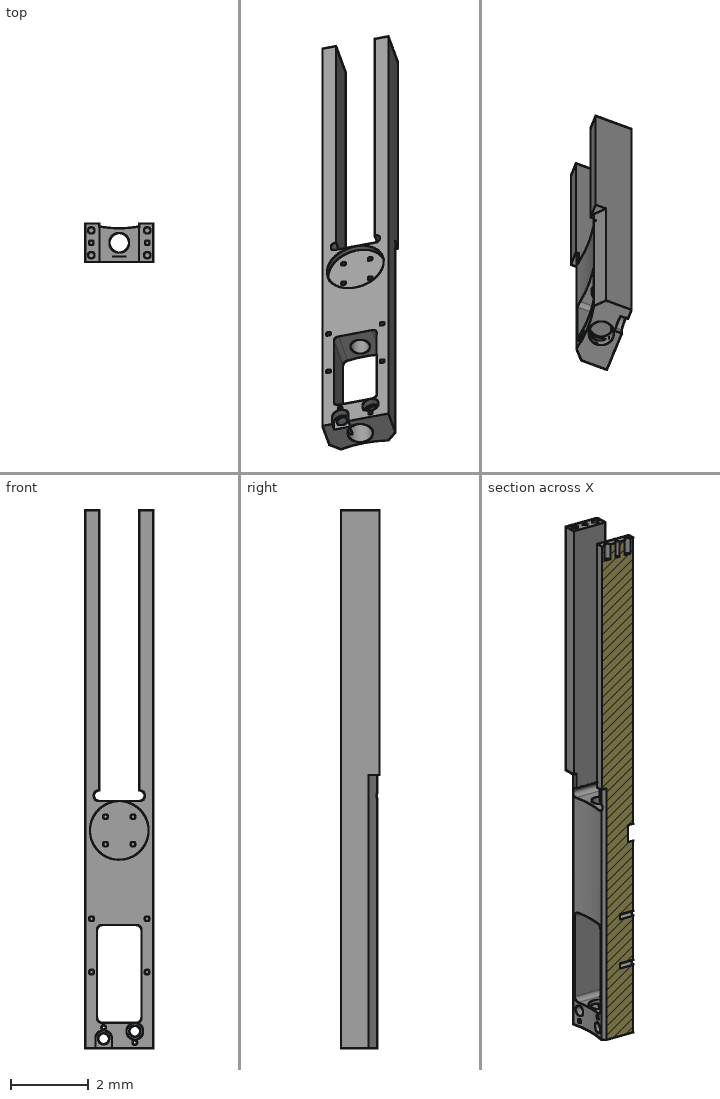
import cadquery as cq

WIDTH = 1.75
DEPTH = 1.0
HEIGHT = 13.81
FRONT = -DEPTH / 2
BACK = DEPTH / 2

BODY_TOP = 7.02
BACK_STEP = 0.05
BEVEL_DEPTH = 0.23
BEVEL_WIDTH = 0.25
HOLLOW_DEPTH = 0.07

FORK_WIDTH = 1.02
FORK_FLOOR = 6.35
RELIEF_WIDTH = 1.3
RELIEF_HEIGHT = 0.26
RELIEF_RADIUS = 0.12

WINDOW_WIDTH = 1.13
WINDOW_BOTTOM = 0.66
WINDOW_TOP = 3.16
WINDOW_RADIUS = 0.12

SEAT_DIAMETER = 1.5
SEAT_DEPTH = 0.15
SEAT_Z = 5.59
SEAT_HOLE_SPACING = 0.7
SEAT_HOLE_DIAMETER = 0.12

BLIND_DEPTH = 0.41
SIDE_HOLE_SPACING = 1.42
SIDE_HOLE_DIAMETER = 0.12
SIDE_HOLE_HEIGHTS = (1.96, 3.33)
ARM_HOLE_SPACING_X = 1.44
ARM_HOLE_SPACING_Y = 0.32
ARM_OUTER_HOLE_DIAMETER = 0.17
ARM_MIDDLE_HOLE_DIAMETER = 0.12

AXIAL_BORE_DIAMETER = 0.5
FOOT_BORE_DIAMETER = 0.65

MOUNT_X = 0.4
LEFT_MOUNT_Z = 0.25
RIGHT_MOUNT_Z = 0.44
MOUNT_DIAMETER = 0.28
COUNTERBORE_DIAMETER = 0.43
COUNTERBORE_DEPTH = 0.21
COMPANION_OFFSET = 0.29
COMPANION_DIAMETER = 0.11


def front_box(width, bottom, top):
    """Block through the full depth, centred on X."""
    return cq.Workplane("XY").box(width, DEPTH, top - bottom, centered=(True, True, False)).translate(
        (0, 0, bottom)
    )


def front_cylinders(points, diameter, depth):
    """Cylinders running from the front face toward the back at (x, z) points."""
    plane = cq.Workplane("XZ", origin=(0, FRONT, 0))
    return plane.pushPoints(points).circle(diameter / 2).extrude(-depth)


def make_body():
    half_width = WIDTH / 2
    ridge_x = half_width - BEVEL_WIDTH
    ridge_y = BACK - BACK_STEP
    lower = (
        cq.Workplane("XY")
        .moveTo(-half_width, FRONT)
        .lineTo(half_width, FRONT)
        .lineTo(half_width, ridge_y - BEVEL_DEPTH)
        .lineTo(ridge_x, ridge_y)
        .threePointArc((0, ridge_y - HOLLOW_DEPTH), (-ridge_x, ridge_y))
        .lineTo(-half_width, ridge_y - BEVEL_DEPTH)
        .close()
        .extrude(BODY_TOP)
    )
    return lower.union(front_box(WIDTH, BODY_TOP, HEIGHT))


def cut_openings(body):
    fork = front_box(FORK_WIDTH, FORK_FLOOR, HEIGHT)
    relief = front_box(RELIEF_WIDTH, FORK_FLOOR, FORK_FLOOR + RELIEF_HEIGHT)
    relief = relief.edges("|Y").fillet(RELIEF_RADIUS)
    window = front_box(WINDOW_WIDTH, WINDOW_BOTTOM, WINDOW_TOP)
    window = window.edges("|Y").fillet(WINDOW_RADIUS)
    bore = cq.Workplane("XY").circle(AXIAL_BORE_DIAMETER / 2).extrude(FORK_FLOOR)
    foot_bore = cq.Workplane("XY").circle(FOOT_BORE_DIAMETER / 2).extrude(WINDOW_BOTTOM)
    return body.cut(fork).cut(relief).cut(window).cut(bore).cut(foot_bore)


def cut_seat(body):
    half = SEAT_HOLE_SPACING / 2
    pins = [(x, SEAT_Z + dz) for x in (-half, half) for dz in (-half, half)]
    body = body.cut(front_cylinders([(0, SEAT_Z)], SEAT_DIAMETER, SEAT_DEPTH))
    return body.cut(front_cylinders(pins, SEAT_HOLE_DIAMETER, BLIND_DEPTH))


def cut_small_holes(body):
    side_x = SIDE_HOLE_SPACING / 2
    side_points = [(x, z) for x in (-side_x, side_x) for z in SIDE_HOLE_HEIGHTS]
    body = body.cut(front_cylinders(side_points, SIDE_HOLE_DIAMETER, BLIND_DEPTH))
    for row, diameter in (
        (-1, ARM_OUTER_HOLE_DIAMETER),
        (0, ARM_MIDDLE_HOLE_DIAMETER),
        (1, ARM_OUTER_HOLE_DIAMETER),
    ):
        arm_x = ARM_HOLE_SPACING_X / 2
        points = [(x, row * ARM_HOLE_SPACING_Y) for x in (-arm_x, arm_x)]
        top = cq.Workplane("XY", origin=(0, 0, HEIGHT))
        body = body.cut(top.pushPoints(points).circle(diameter / 2).extrude(-BLIND_DEPTH))
    return body


def cut_mount(body, x, z, companion_z):
    body = body.cut(front_cylinders([(x, z)], MOUNT_DIAMETER, DEPTH))
    body = body.cut(front_cylinders([(x, z)], COUNTERBORE_DIAMETER, COUNTERBORE_DEPTH))
    return body.cut(front_cylinders([(x, companion_z)], COMPANION_DIAMETER, DEPTH))


def cut_foot(body):
    body = cut_mount(body, -MOUNT_X, LEFT_MOUNT_Z, LEFT_MOUNT_Z + COMPANION_OFFSET)
    body = cut_mount(body, MOUNT_X, RIGHT_MOUNT_Z, RIGHT_MOUNT_Z - COMPANION_OFFSET)
    runout = cq.Workplane("XY").box(
        COUNTERBORE_DIAMETER, COUNTERBORE_DEPTH, LEFT_MOUNT_Z, centered=(True, False, False)
    )
    return body.cut(runout.translate((-MOUNT_X, FRONT, 0)))


result = cut_foot(cut_small_holes(cut_seat(cut_openings(make_body()))))